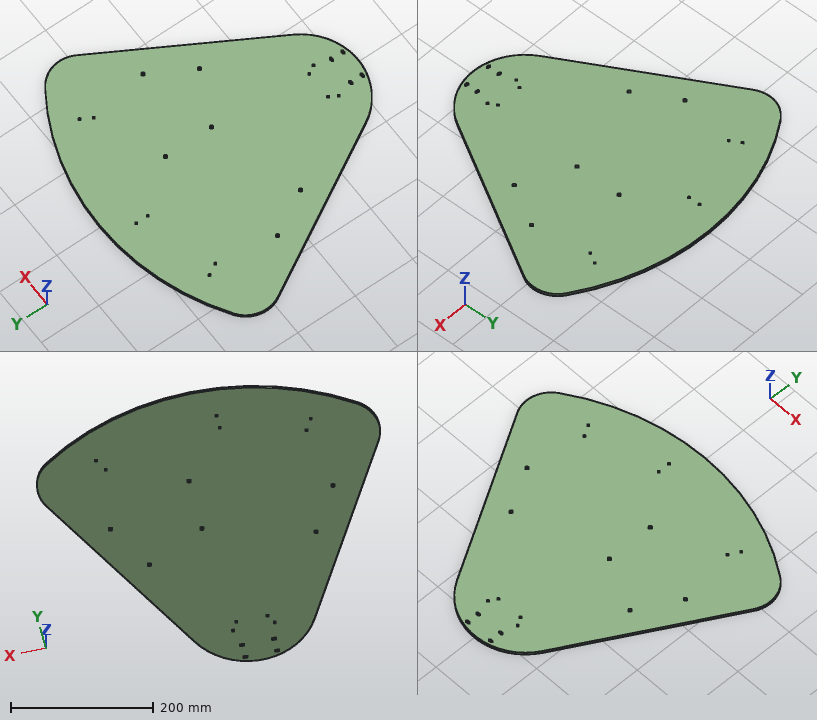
import cadquery as cq
import math

THICKNESS = 5.0
HALF_ANGLE = 30.0
TIP_RADIUS = 100.0
CORNER_RADIUS = 50.0
RIM_RADIUS = 400.0
RIM_CENTRE_Y = -50.0

MOUNT_DIAMETER = 5.0
MOUNT_OFFSET = 35.0
MOUNT_DISTANCES = (180.0, 260.0)
RIM_HOLE_DIAMETER = 3.2
RIM_HOLE_OFFSET = -27.0
RIM_HOLE_DISTANCES = (336.25, 356.25)

TIP_HOLE_DIAMETER = 3.2
TIP_HOLE_POSITIONS = ((22.5, -31.0), (30.0, -44.0))
SLOT_X = 23.0
SLOT_ROWS = (-70.0, -90.0)
SLOT_LENGTH = 6.4
SLOT_WIDTH = 3.2

SIN_HALF = math.sin(math.radians(HALF_ANGLE))
COS_HALF = math.cos(math.radians(HALF_ANGLE))
SIDES = (-1, 1)


def corner_centre():
    """Centre of the right corner arc, tangent to the straight side and inside the rim."""
    inset = TIP_RADIUS - CORNER_RADIUS
    start_x = inset * COS_HALF
    start_y = -inset * SIN_HALF
    rise = start_y - RIM_CENTRE_Y
    reach = RIM_RADIUS - CORNER_RADIUS
    along = start_x * SIN_HALF + rise * COS_HALF
    aside = start_x * COS_HALF - rise * SIN_HALF
    travel = math.sqrt(reach**2 - aside**2) - along
    return start_x + travel * SIN_HALF, start_y + travel * COS_HALF


def make_plate():
    corner_x, corner_y = corner_centre()
    tip_x = TIP_RADIUS * COS_HALF
    tip_y = -TIP_RADIUS * SIN_HALF
    side_x = corner_x + CORNER_RADIUS * COS_HALF
    side_y = corner_y - CORNER_RADIUS * SIN_HALF
    rim_scale = RIM_RADIUS / (RIM_RADIUS - CORNER_RADIUS)
    rim_x = corner_x * rim_scale
    rim_y = RIM_CENTRE_Y + (corner_y - RIM_CENTRE_Y) * rim_scale
    widest_x = corner_x + CORNER_RADIUS
    return (
        cq.Workplane("XY")
        .moveTo(-tip_x, tip_y)
        .threePointArc((0, -TIP_RADIUS), (tip_x, tip_y))
        .lineTo(side_x, side_y)
        .threePointArc((widest_x, corner_y), (rim_x, rim_y))
        .threePointArc((0, RIM_CENTRE_Y + RIM_RADIUS), (-rim_x, rim_y))
        .threePointArc((-widest_x, corner_y), (-side_x, side_y))
        .close()
        .extrude(THICKNESS)
    )


def on_rays(offset, distances):
    """Points beside the middle ray and both outer rays; the left ray mirrors the right."""
    points = []
    for distance in distances:
        points.append((offset, RIM_CENTRE_Y + distance))
        outer_x = distance * SIN_HALF + offset * COS_HALF
        outer_y = RIM_CENTRE_Y + distance * COS_HALF - offset * SIN_HALF
        points += [(side * outer_x, outer_y) for side in SIDES]
    return points


def mirrored(points):
    return [(side * x, y) for x, y in points for side in SIDES]


def drill(points, diameter):
    return cq.Workplane("XY").pushPoints(points).circle(diameter / 2).extrude(THICKNESS)


def make_slots():
    points = mirrored([(SLOT_X, row) for row in SLOT_ROWS])
    return cq.Workplane("XY").pushPoints(points).slot2D(SLOT_LENGTH, SLOT_WIDTH).extrude(THICKNESS)


result = (
    make_plate()
    .cut(drill(on_rays(MOUNT_OFFSET, MOUNT_DISTANCES), MOUNT_DIAMETER))
    .cut(drill(on_rays(RIM_HOLE_OFFSET, RIM_HOLE_DISTANCES), RIM_HOLE_DIAMETER))
    .cut(drill(mirrored(TIP_HOLE_POSITIONS), TIP_HOLE_DIAMETER))
    .cut(make_slots())
)